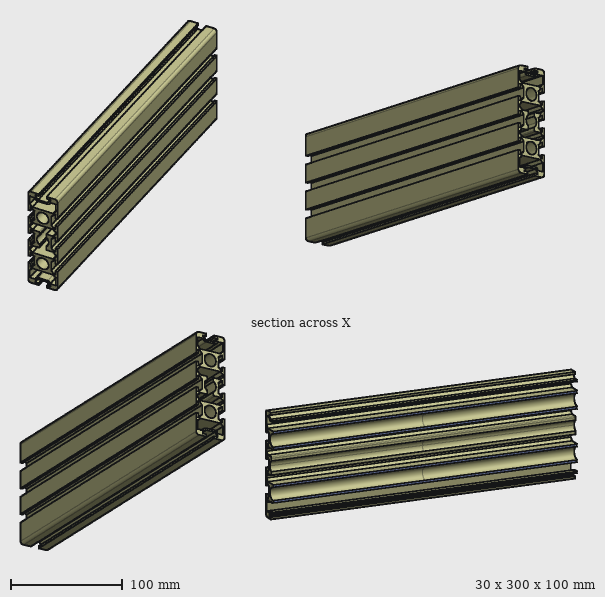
import math

import cadquery as cq

length = 300.0
width = 30.0
height = 100.0
corner_radius = 3.0
half_width = width / 2
half_height = height / 2

slot_pitch = height / 4
slot_opening = 8.0
lip_thickness = 2.25
undercut_width = 15.3
undercut_depth = 3.3
slot_depth = 6.3
slot_floor_width = undercut_width - 2 * (slot_depth - undercut_depth)

core_half = 8.7
bore_diameter = 12.0
core_gap = 6.5
gap_corner_radius = 1.0

wall = 1.8
chamber_half_width = half_width - wall
chamber_chamfer = 2.7

end_block_depth = 5.5
web_thickness = 1.8
web_depth = slot_depth + web_thickness
web_radius = web_depth - end_block_depth
web_floor_half = 4.8
web_root_half = web_floor_half + web_radius


def extrude(sketch):
    """Extrude a closed XZ outline over the full length, centred on Y = 0."""
    return sketch.extrude(length / 2, both=True)


def prism(points):
    return extrude(cq.Workplane("XZ").polyline(points).close())


def box(x_size, z_size, z_center=0):
    return extrude(cq.Workplane("XZ").center(0, z_center).rect(x_size, z_size))


def t_slot(angle, distance, z_center=0):
    """T-slot whose mouth faces +Z, turned about Y, then set at its face."""
    half_profile = [
        (slot_opening / 2, 0),
        (slot_opening / 2, -lip_thickness),
        (undercut_width / 2, -lip_thickness),
        (undercut_width / 2, -undercut_depth),
        (slot_floor_width / 2, -slot_depth),
    ]
    mirrored = [(-x, z) for x, z in reversed(half_profile)]
    slot = prism(half_profile + mirrored).translate((0, 0, distance))
    return slot.rotate((0, 0, 0), (0, 1, 0), angle).translate((0, 0, z_center))


def end_chamber():
    """Upper chamber: chamfered at the core, wrapped around the slot web at the top."""
    bottom = slot_pitch + core_half
    top = half_height - end_block_depth
    web_bottom = half_height - web_depth
    arc_reach = web_radius * math.sqrt(0.5)
    arc_x = web_floor_half + arc_reach
    arc_z = top - arc_reach
    outline = (
        cq.Workplane("XZ")
        .moveTo(-chamber_half_width, bottom)
        .lineTo(chamber_half_width, bottom)
        .lineTo(chamber_half_width, top)
        .lineTo(web_root_half, top)
        .threePointArc((arc_x, arc_z), (web_floor_half, web_bottom))
        .lineTo(-web_floor_half, web_bottom)
        .threePointArc((-arc_x, arc_z), (-web_root_half, top))
        .lineTo(-chamber_half_width, top)
        .close()
    )
    return extrude(outline).faces("<Z").edges("|Y").chamfer(chamber_chamfer)


def middle_chamber():
    """Chamber between the central core and the upper core."""
    z_size = slot_pitch - 2 * core_half
    chamber = box(2 * chamber_half_width, z_size, slot_pitch / 2)
    return chamber.edges("|Y").chamfer(chamber_chamfer)


def bore(z_center):
    return extrude(cq.Workplane("XZ").center(0, z_center).circle(bore_diameter / 2))


def core_opening():
    """Passage through the central core, flared by the roundings of its mouths."""
    inner = core_gap / 2
    mouth = inner + gap_corner_radius
    shoulder = core_half - gap_corner_radius
    arc_inset = gap_corner_radius * (1 - math.sqrt(0.5))
    arc_x = inner + arc_inset
    arc_z = core_half - arc_inset
    outline = (
        cq.Workplane("XZ")
        .moveTo(inner, -shoulder)
        .lineTo(inner, shoulder)
        .threePointArc((arc_x, arc_z), (mouth, core_half))
        .lineTo(-mouth, core_half)
        .threePointArc((-arc_x, arc_z), (-inner, shoulder))
        .lineTo(-inner, -shoulder)
        .threePointArc((-arc_x, -arc_z), (-mouth, -core_half))
        .lineTo(mouth, -core_half)
        .threePointArc((arc_x, -arc_z), (inner, -shoulder))
        .close()
    )
    return extrude(outline)


profile = box(width, height).edges("|Y").fillet(corner_radius)

for level in (-slot_pitch, 0, slot_pitch):
    for side_angle in (90, -90):
        profile = profile.cut(t_slot(side_angle, half_width, level))
for end_angle in (0, 180):
    profile = profile.cut(t_slot(end_angle, half_height))

for chamber in (end_chamber(), middle_chamber()):
    profile = profile.cut(chamber).cut(chamber.mirror("XY"))

for level in (-slot_pitch, 0, slot_pitch):
    profile = profile.cut(bore(level))
profile = profile.cut(core_opening())

result = profile